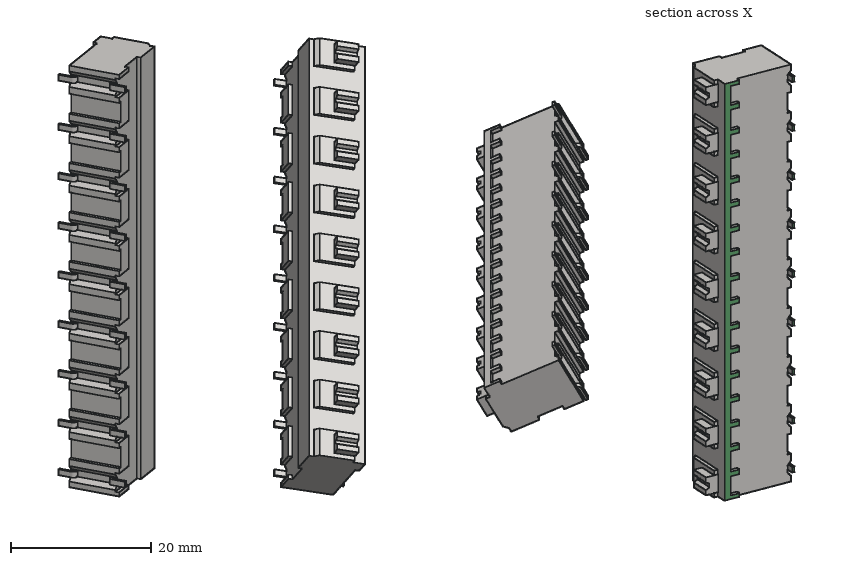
import cadquery as cq


pole_count = 9
pole_pitch = 7.62
end_margin = 2.1
row_length = (pole_count - 1) * pole_pitch
strip_length = row_length + 2 * end_margin
pole_heights = [i * pole_pitch - row_length / 2 for i in range(pole_count)]
gap_heights = [z + pole_pitch / 2 for z in pole_heights[:-1]]

half_width = 4.25
side_step = 0.6
front_y = 0.2
back_y = 11.8
flange_bottom_y = 9.3
groove_bottom_y = 3.3
groove_top_y = 7.25
groove_draft = 0.05
wall_left_x = -half_width + side_step
wall_right_x = half_width - side_step

front_recess = 0.6
recess_floor_y = front_y + front_recess
rib_half_height = 2.25
gap_height = pole_pitch - 2 * rib_half_height
channel_floor_half = 0.5
channel_mouth_half = 1.2

window_height = 2.9
window_top_y = 10.75

block_left_x = -2.45
block_right_x = 3.5
block_half_height = end_margin
block_back_y = 12.45
block_chamfer = 0.6
plunger_left_x = -2.5
plunger_width = 3.2
plunger_half_height = 1.4
plunger_back_y = 13.85
notch_depth = 0.6
notch_mouth_half = 0.6
notch_floor_half = 0.25

pin_span = 10.5
pin_height = 0.9
pin_thickness = 0.4
leg_inner_x = 2.6
bend_radius = 0.6


def box_between(x_range, y_range, height, z_centre):
    """Box spanning the given X and Y ranges, centred on z_centre."""
    (x0, x1), (y0, y1) = x_range, y_range
    return (
        cq.Workplane("XY", origin=((x0 + x1) / 2, (y0 + y1) / 2, z_centre))
        .box(x1 - x0, y1 - y0, height)
    )


def prism_along_x(points, x_start, x_end, z_centre):
    """Extrude a (y, z) outline, with z measured from z_centre, along X."""
    return (
        cq.Workplane("YZ", origin=(x_start, 0, z_centre))
        .polyline(points).close()
        .extrude(x_end - x_start)
    )


def body_bar():
    """Full-length bar with the left flange and the long groove in the right side."""
    outline = [
        (wall_left_x, front_y),
        (half_width, front_y),
        (half_width, groove_bottom_y),
        (wall_right_x, groove_bottom_y),
        (wall_right_x, groove_top_y),
        (half_width, groove_top_y + groove_draft),
        (half_width, back_y),
        (-half_width, back_y),
        (-half_width, flange_bottom_y),
        (wall_left_x, flange_bottom_y),
    ]
    return (
        cq.Workplane("XY", origin=(0, 0, -strip_length / 2))
        .polyline(outline).close()
        .extrude(strip_length)
    )


def flange_window(height, z_centre):
    """Cutter that shortens the flange over the given height."""
    return box_between((-half_width, wall_left_x), (flange_bottom_y, window_top_y), height, z_centre)


def gap_cutter(z_centre):
    """Recess in the front face and flange between two neighbouring poles."""
    front = box_between((wall_left_x, half_width), (front_y, recess_floor_y), gap_height, z_centre)
    return front.union(flange_window(gap_height, z_centre))


def pole_cutter(z_centre):
    """V channel in the rib, with a window at each of its two ends."""
    channel = prism_along_x(
        [
            (front_y, -channel_mouth_half),
            (recess_floor_y, -channel_floor_half),
            (recess_floor_y, channel_floor_half),
            (front_y, channel_mouth_half),
        ],
        wall_left_x, half_width, z_centre,
    )
    side_window = box_between(
        (wall_right_x, half_width), (front_y, groove_bottom_y), window_height, z_centre
    )
    return channel.union(side_window).union(flange_window(window_height, z_centre))


def pole_block(z_centre):
    """Raised block with one chamfered corner on the back of a pole."""
    outline = [
        (block_left_x, back_y),
        (block_right_x, back_y),
        (block_right_x, block_back_y - block_chamfer),
        (block_right_x - block_chamfer, block_back_y),
        (block_left_x, block_back_y),
    ]
    return (
        cq.Workplane("XY", origin=(0, 0, z_centre - block_half_height))
        .polyline(outline).close()
        .extrude(2 * block_half_height)
    )


def plunger(z_centre):
    """Actuator bar with a tapered notch in its outer face."""
    notch_floor_y = plunger_back_y - notch_depth
    outline = [
        (back_y, -plunger_half_height),
        (plunger_back_y, -plunger_half_height),
        (plunger_back_y, -notch_mouth_half),
        (notch_floor_y, -notch_floor_half),
        (notch_floor_y, notch_floor_half),
        (plunger_back_y, notch_mouth_half),
        (plunger_back_y, plunger_half_height),
        (back_y, plunger_half_height),
    ]
    return prism_along_x(outline, plunger_left_x, plunger_left_x + plunger_width, z_centre)


def solder_pin(z_centre):
    """Right-hand pin: a leg out of the channel floor, bent outward into a flat foot."""
    return (
        cq.Workplane("XY", origin=(0, 0, z_centre - pin_height / 2))
        .moveTo(leg_inner_x, recess_floor_y)
        .lineTo(leg_inner_x, bend_radius)
        .radiusArc((leg_inner_x + bend_radius, 0), -bend_radius)
        .lineTo(pin_span / 2, 0)
        .lineTo(pin_span / 2, pin_thickness)
        .lineTo(leg_inner_x + bend_radius, pin_thickness)
        .radiusArc((leg_inner_x + pin_thickness, bend_radius), bend_radius - pin_thickness)
        .lineTo(leg_inner_x + pin_thickness, recess_floor_y)
        .close()
        .extrude(pin_height)
    )


result = body_bar()
for z in gap_heights:
    result = result.cut(gap_cutter(z))
for z in pole_heights:
    right_pin = solder_pin(z)
    result = result.cut(pole_cutter(z))
    result = result.union(pole_block(z)).union(plunger(z))
    result = result.union(right_pin).union(right_pin.mirror("YZ"))